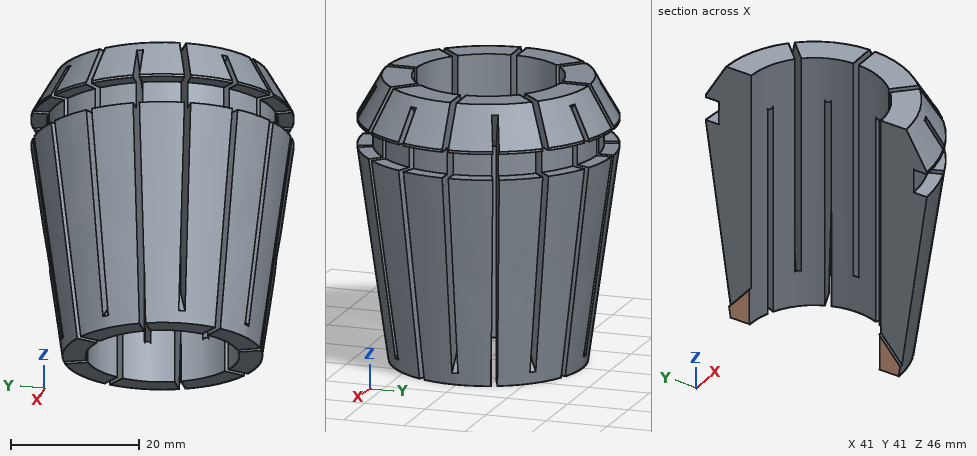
import cadquery as cq
import math

height = 46.0
max_radius = 20.5
bore_radius = 12.0

taper_height = 34.8
taper_half_angle = 8.0
tip_radius = max_radius - taper_height * math.tan(math.radians(taper_half_angle))

head_height = 7.0
rim_height = 0.4
groove_radius = 18.05
head_half_angle = 30.0
rim_bottom = height - head_height
rim_top = rim_bottom + rim_height
face_radius = max_radius - (height - rim_top) * math.tan(math.radians(head_half_angle))

slot_count = 8
slot_pitch = 360.0 / slot_count
slot_width = 1.0
slot_end_angle = 50.0
head_slot_floor = 1.95
tip_slot_roof = 44.5
overrun = 1.0


def surface_radius_on_taper(z):
    return tip_radius + z * math.tan(math.radians(taper_half_angle))


def surface_radius_on_head(z):
    return face_radius + (height - z) * math.tan(math.radians(head_half_angle))


def make_body():
    """Turned sleeve: taper, groove, rim and conical head around a plain bore."""
    profile = [
        (bore_radius, 0),
        (tip_radius, 0),
        (max_radius, taper_height),
        (groove_radius, taper_height),
        (groove_radius, rim_bottom),
        (max_radius, rim_bottom),
        (max_radius, rim_top),
        (face_radius, height),
        (bore_radius, height),
    ]
    return cq.Workplane("XZ").polyline(profile).close().revolve(360, (0, 0), (0, 1))


def make_slot_cutter(outer_radius, outer_z, slope, open_z):
    """Radial blade along +X, open at open_z, with a sloped end through (outer_radius, outer_z)."""
    inner = bore_radius - overrun
    outer = max_radius + overrun
    outline = [
        (inner, outer_z + slope * (inner - outer_radius)),
        (outer, outer_z + slope * (outer - outer_radius)),
        (outer, open_z),
        (inner, open_z),
    ]
    blade = cq.Workplane("XZ").polyline(outline).close()
    return blade.extrude(slot_width / 2, both=True)


def cut_slots(body, cutter, first_angle):
    for i in range(slot_count):
        body = body.cut(cutter.rotate((0, 0, 0), (0, 0, 1), first_angle + i * slot_pitch))
    return body


slot_end_slope = math.tan(math.radians(slot_end_angle))

head_slot_radius = surface_radius_on_taper(head_slot_floor)
head_slot = make_slot_cutter(head_slot_radius, head_slot_floor, -slot_end_slope, height + overrun)

tip_slot_radius = surface_radius_on_head(tip_slot_roof)
tip_slot = make_slot_cutter(tip_slot_radius, tip_slot_roof, slot_end_slope, -overrun)

result = make_body()
result = cut_slots(result, head_slot, 0)
result = cut_slots(result, tip_slot, slot_pitch / 2)